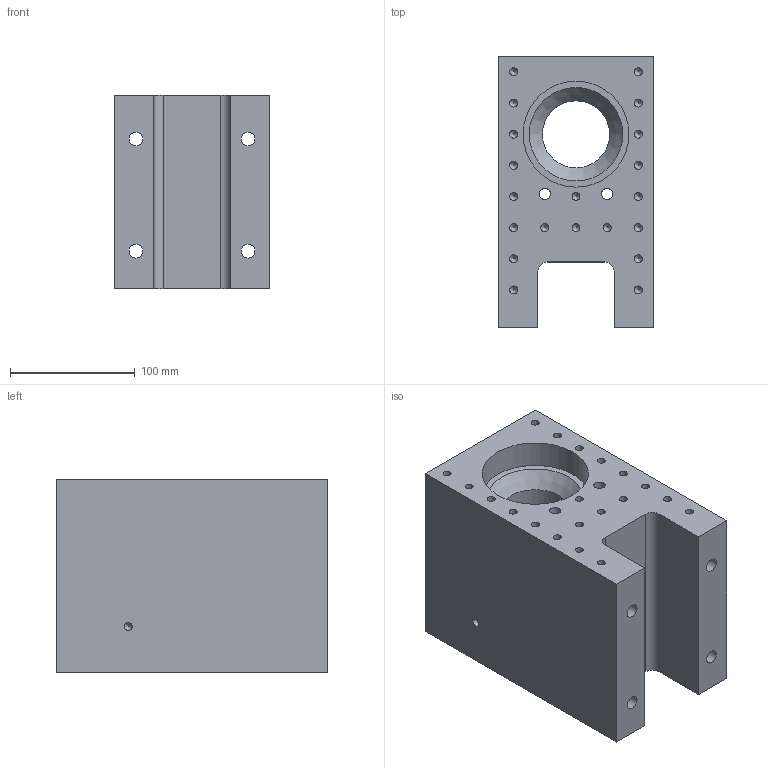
import cadquery as cq
import math

WIDTH = 125.0
LENGTH = 217.5
HEIGHT = 155.0
BACK_Y = WIDTH / 2
FRONT_Y = BACK_Y - LENGTH
LEFT_X = -WIDTH / 2

SLOT_WIDTH = 61.0
SLOT_DEPTH = 52.5
SLOT_CORNER_RADIUS = 7.5

COUNTERBORE_DIAMETER = 85.0
COUNTERBORE_DEPTH = 22.0
SEAT_RIM_DIAMETER = 75.0
SEAT_DEPTH = 13.0
BORE_DIAMETER = 54.0

BLIND_DIAMETER = 6.4
DRILL_POINT_ANGLE = 90.0
TOP_HOLE_DEPTH = 20.0
SIDE_HOLE_DEPTH = 10.0

GRID_PITCH = 25.0
ROW_COUNT = 8
BACK_ROW_Y = BACK_Y - GRID_PITCH / 2
OUTER_COLUMNS = (-2, 2)
INNER_COLUMNS = {4: (0,), 5: (-1, 0, 1)}

SIDE_HOLE_Y = 5.0
SIDE_HOLE_Z = 37.0

VERTICAL_DIAMETER = 9.0
VERTICAL_Y = -47.85

BOLT_DIAMETER = 11.0
BOLT_SPACING = 90.0
BOLT_LOW_Z = 30.0


def make_block():
    block = cq.Workplane("XY").box(WIDTH, LENGTH, HEIGHT, centered=(True, False, False))
    return block.translate((0, FRONT_Y, 0))


def make_slot():
    slot = cq.Workplane("XY").box(SLOT_WIDTH, SLOT_DEPTH, HEIGHT, centered=(True, False, False))
    return slot.edges("|Z and >Y").fillet(SLOT_CORNER_RADIUS).translate((0, FRONT_Y, 0))


def make_main_bore():
    """Revolved cutter whose conical seat narrows from the counterbore floor to the bore."""
    bore_radius = BORE_DIAMETER / 2
    counterbore_radius = COUNTERBORE_DIAMETER / 2
    floor_z = HEIGHT - COUNTERBORE_DEPTH
    profile = (
        cq.Workplane("XZ")
        .lineTo(bore_radius, 0)
        .lineTo(bore_radius, floor_z - SEAT_DEPTH)
        .lineTo(SEAT_RIM_DIAMETER / 2, floor_z)
        .lineTo(counterbore_radius, floor_z)
        .lineTo(counterbore_radius, HEIGHT)
        .lineTo(0, HEIGHT)
        .close()
    )
    return profile.revolve(360, (0, 0, 0), (0, 1, 0))


def make_through_hole(diameter, length, start, direction):
    cylinder = cq.Solid.makeCylinder(diameter / 2, length, cq.Vector(*start), cq.Vector(*direction))
    return cq.Workplane(cylinder)


def make_blind_hole(depth, start, direction):
    """Cutter of full diameter down to depth, ended by the conical point."""
    origin = cq.Vector(*start)
    axis = cq.Vector(*direction)
    radius = BLIND_DIAMETER / 2
    point_length = radius / math.tan(math.radians(DRILL_POINT_ANGLE / 2))
    shank = cq.Solid.makeCylinder(radius, depth, origin, axis)
    point = cq.Solid.makeCone(radius, 0, point_length, origin + axis * depth, axis)
    return cq.Workplane(shank.fuse(point))


def cut_top_holes(part):
    for row in range(ROW_COUNT):
        y = BACK_ROW_Y - row * GRID_PITCH
        for column in OUTER_COLUMNS + INNER_COLUMNS.get(row, ()):
            start = (column * GRID_PITCH, y, HEIGHT)
            part = part.cut(make_blind_hole(TOP_HOLE_DEPTH, start, (0, 0, -1)))
    return part


def cut_vertical_holes(part):
    for x in (-GRID_PITCH, GRID_PITCH):
        start = (x, VERTICAL_Y, 0)
        part = part.cut(make_through_hole(VERTICAL_DIAMETER, HEIGHT, start, (0, 0, 1)))
    return part


def cut_bolt_holes(part):
    for x in (-BOLT_SPACING / 2, BOLT_SPACING / 2):
        for z in (BOLT_LOW_Z, BOLT_LOW_Z + BOLT_SPACING):
            start = (x, FRONT_Y, z)
            part = part.cut(make_through_hole(BOLT_DIAMETER, LENGTH, start, (0, 1, 0)))
    return part


def cut_side_hole(part):
    start = (LEFT_X, SIDE_HOLE_Y, SIDE_HOLE_Z)
    return part.cut(make_blind_hole(SIDE_HOLE_DEPTH, start, (1, 0, 0)))


result = make_block().cut(make_slot()).cut(make_main_bore())
result = cut_top_holes(result)
result = cut_vertical_holes(result)
result = cut_bolt_holes(result)
result = cut_side_hole(result)